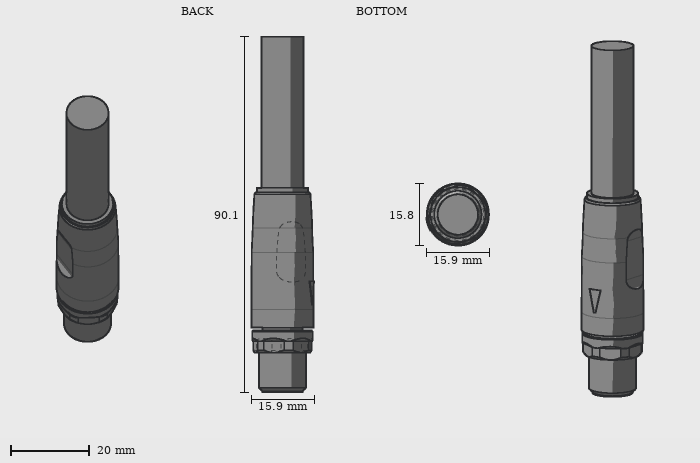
import cadquery as cq
import math

tip_lip_top = 0.25
tip_chamfer_top = 1.2
nut_bottom = 10.0
flats_top = 13.0
nut_top = 15.7
body_bottom = 16.4
sleeve_top = 21.1
grip_middle = 35.5
grip_top = 41.7
shoulder_bottom = 50.15
shoulder_top = 50.7
collar_top = 51.8
cable_top = 90.1

plug_radius = 6.0
tip_radius = 5.1
nut_rim_radius = 7.7
nut_corner_radius = 7.5
nut_top_chamfer = 0.3
nut_bottom_chamfer_width = 0.55
nut_bottom_chamfer_height = 0.7
neck_radius = 5.1
body_radius = 7.9
grip_middle_radius = 7.82
grip_top_radius = 7.55
hood_middle_radius = 7.4
shoulder_radius = 7.14
shoulder_top_radius = 6.8
collar_radius = 6.5
cable_radius = 5.35

feature_turn = -18.0
overcut = 10.0

flat_count = 6
flat_distance = 7.0
flat_runout = 1.0

recess_distance = 6.83
recess_floor_bottom = 30.9
recess_floor_top = 40.9
recess_end_radius = 4.6

arrow_bottom = 22.2
arrow_top = 28.2
arrow_tip_width = 0.5
arrow_top_width = 3.4
arrow_radius = 8.05


def turned(shape, angle):
    return shape.rotate((0, 0, 0), (0, 0, 1), angle)


def make_turned_parts():
    """Revolve plug, nut blank, neck, body and cable as one profile."""
    hood_middle = (grip_top + shoulder_bottom) / 2
    return (
        cq.Workplane("XZ")
        .moveTo(0, 0)
        .lineTo(tip_radius, 0)
        .lineTo(tip_radius, tip_lip_top)
        .lineTo(plug_radius, tip_chamfer_top)
        .lineTo(plug_radius, nut_bottom)
        .lineTo(nut_corner_radius - nut_bottom_chamfer_width, nut_bottom)
        .lineTo(nut_corner_radius, nut_bottom + nut_bottom_chamfer_height)
        .lineTo(nut_corner_radius, flats_top)
        .lineTo(nut_rim_radius, flats_top)
        .lineTo(nut_rim_radius, nut_top - nut_top_chamfer)
        .lineTo(nut_rim_radius - nut_top_chamfer, nut_top)
        .lineTo(neck_radius, nut_top)
        .lineTo(neck_radius, body_bottom)
        .lineTo(body_radius, body_bottom)
        .lineTo(body_radius, sleeve_top)
        .lineTo(grip_middle_radius, grip_middle)
        .lineTo(grip_top_radius, grip_top)
        .threePointArc((hood_middle_radius, hood_middle), (shoulder_radius, shoulder_bottom))
        .lineTo(shoulder_top_radius, shoulder_top)
        .lineTo(collar_radius, shoulder_top)
        .lineTo(collar_radius, collar_top)
        .lineTo(cable_radius, collar_top)
        .lineTo(cable_radius, cable_top)
        .lineTo(0, cable_top)
        .close()
        .revolve(360, (0, 0, 0), (0, 1, 0))
    )


def make_flat_cutter():
    """Prism that cuts one nut flat on +X, with a sloped run-out above it."""
    outer = flat_distance + flat_runout
    return (
        cq.Workplane("XZ")
        .moveTo(flat_distance, nut_bottom)
        .lineTo(outer, nut_bottom)
        .lineTo(outer, flats_top + flat_runout)
        .lineTo(flat_distance, flats_top)
        .close()
        .extrude(overcut / 2, both=True)
    )


def cut_nut_flats(part):
    first_angle = feature_turn - 90
    for index in range(flat_count):
        angle = first_angle + index * 360 / flat_count
        part = part.cut(turned(make_flat_cutter(), angle))
    return part


def cut_thumb_recess(part):
    """Flat-bottomed recess whose two ends sweep out in arcs."""
    end = recess_end_radius
    outer = recess_distance + end
    bend = end * math.sqrt(0.5)
    cutter = (
        cq.Workplane("XZ")
        .moveTo(recess_distance, recess_floor_bottom)
        .lineTo(recess_distance, recess_floor_top)
        .threePointArc((outer - bend, recess_floor_top + bend), (outer, recess_floor_top + end))
        .lineTo(outer, recess_floor_bottom - end)
        .threePointArc((outer - bend, recess_floor_bottom - bend), (recess_distance, recess_floor_bottom))
        .close()
        .extrude(overcut, both=True)
    )
    return part.cut(turned(cutter, feature_turn - 90))


def add_arrow(part):
    """Arrow outline pushed out to a cylinder just larger than the body."""
    prism = (
        cq.Workplane("YZ")
        .moveTo(-arrow_top_width / 2, arrow_top)
        .lineTo(arrow_top_width / 2, arrow_top)
        .lineTo(arrow_tip_width / 2, arrow_bottom)
        .lineTo(-arrow_tip_width / 2, arrow_bottom)
        .close()
        .extrude(-overcut)
    )
    envelope = cq.Workplane("XY").circle(arrow_radius).extrude(cable_top)
    return part.union(turned(prism.intersect(envelope), feature_turn))


result = make_turned_parts()
result = cut_nut_flats(result)
result = cut_thumb_recess(result)
result = add_arrow(result)